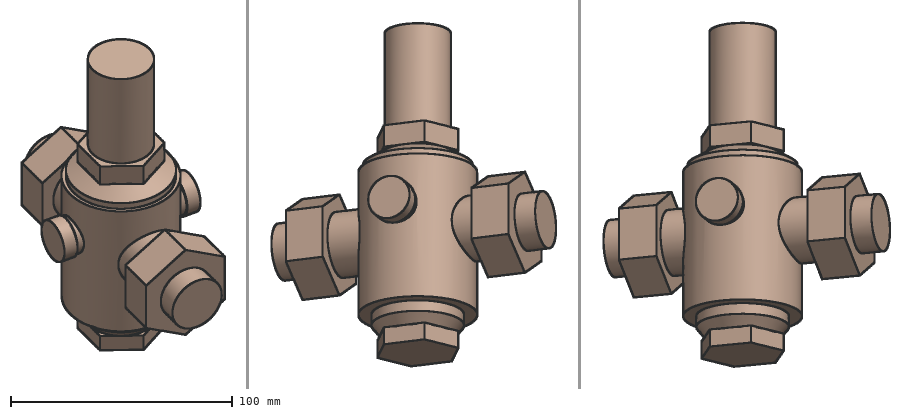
import cadquery as cq
import math

bottom_hex_top = 8.0
bottom_cone_top = 13.0
collar_top = 18.1
body_top = 86.0
ring_top = 89.2
top_cone_top = 94.1
top_hex_top = 104.3
total_height = 152.0

bottom_cone_radius = 17.0
collar_radius = 21.0
body_radius = 26.9
ring_radius = 25.0
top_cone_radius = 17.0
rod_radius = 15.0
body_hex_flats = 34.0

pipe_height = 56.0
pipe_radius = 15.0
stub_radius = 13.0
stub_length = 10.0
nut_flats = 41.6
nut_width = 18.0
left_reach = 62.0
right_reach = 66.0

port_height = 63.1
port_reach = 36.0
port_cap_radius = 10.0
port_cap_length = 7.0
port_neck_radius = 9.3


def hexagon(plane, flats, length):
    """Hexagonal prism with a corner on the local X axis."""
    return cq.Workplane(plane).polygon(6, flats / math.cos(math.pi / 6)).extrude(length)


def rod(plane, radius, length):
    return cq.Workplane(plane).circle(radius).extrude(length)


def turned_body():
    """Stepped and coned body, revolved about Z."""
    profile = [
        (0, bottom_hex_top),
        (bottom_cone_radius, bottom_hex_top),
        (collar_radius, bottom_cone_top),
        (collar_radius, collar_top),
        (body_radius, collar_top),
        (body_radius, body_top),
        (ring_radius, body_top),
        (ring_radius, ring_top),
        (top_cone_radius, top_cone_top),
        (0, top_cone_top),
    ]
    return cq.Workplane("XZ").polyline(profile).close().revolve(360, (0, 0), (0, 1))


def pipe_connection(side, reach):
    """Pipe, union nut and end stub pointing along X; side is -1 or 1."""
    def plane_at(distance):
        return cq.Plane((side * distance, 0, pipe_height), xDir=(0, 0, 1), normal=(side, 0, 0))

    nut_outer = reach - stub_length
    nut_inner = nut_outer - nut_width
    pipe = rod(plane_at(0), pipe_radius, nut_inner)
    nut = hexagon(plane_at(nut_inner), nut_flats, nut_width)
    stub = rod(plane_at(nut_outer), stub_radius, stub_length)
    return pipe.union(nut).union(stub)


def gauge_port(side):
    """Neck and wider cap pointing along Y; side is -1 or 1."""
    def plane_at(distance):
        return cq.Plane((0, side * distance, port_height), xDir=(1, 0, 0), normal=(0, side, 0))

    cap_start = port_reach - port_cap_length
    neck = rod(plane_at(0), port_neck_radius, cap_start)
    cap = rod(plane_at(cap_start), port_cap_radius, port_cap_length)
    return neck.union(cap)


def plane_at_height(height):
    return cq.Plane.XY((0, 0, height))


result = turned_body()
result = result.union(hexagon(plane_at_height(0), body_hex_flats, bottom_hex_top))
result = result.union(hexagon(plane_at_height(top_cone_top), body_hex_flats, top_hex_top - top_cone_top))
result = result.union(rod(plane_at_height(top_hex_top), rod_radius, total_height - top_hex_top))
for side, reach in ((-1, left_reach), (1, right_reach)):
    result = result.union(pipe_connection(side, reach))
for side in (-1, 1):
    result = result.union(gauge_port(side))